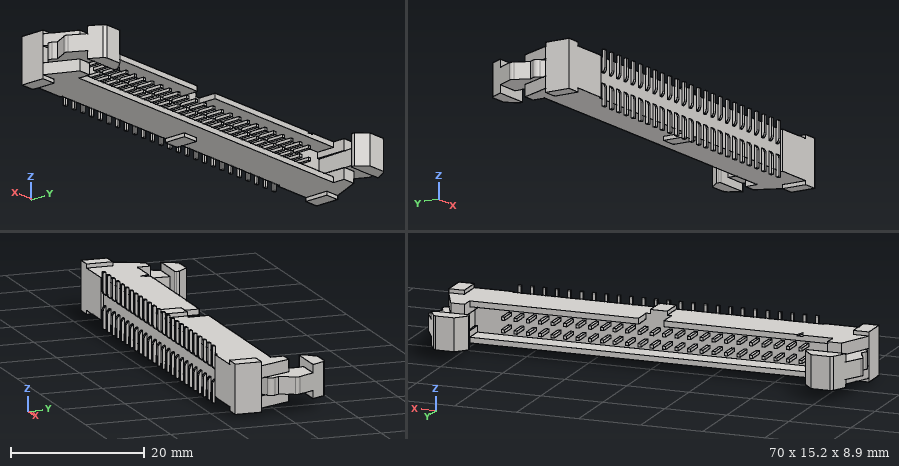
import cadquery as cq


PINS_PER_ROW = 25
ROW_LENGTH = 48.0
PIN_PITCH = ROW_LENGTH / (PINS_PER_ROW - 1)
PIN_SIZE = 0.5
ROW_OFFSET = 1.0
FOOT_SPAN = 8.9
BEND_RADIUS = 0.85
PIN_TIP_Y = 7.3
FOOT_TIP_ROUND = 0.15

BODY_HALF_HEIGHT = 3.3
BODY_FRONT_Y = PIN_SIZE
BODY_REAR_Y = 7.5
END_FRONT_Y = 0.15
END_FRONT_INNER_X = 25.0
END_X = 33.9
STEP_Y = 4.35
TOWER_INNER_X = 29.3
TOWER_OUTER_X = 31.5
TOWER_TOP_Y = 9.6
PAD_LENGTH = 2.5
PAD_HALF_HEIGHT = 3.9
KEY_PAD_WIDTH = 2.7
KEY_SLOT_WIDTH = 4.05
CAVITY_HALF_HEIGHT = 2.4

MARK_WIDTH = 0.9
MARK_LENGTH = 1.3
MARK_DEPTH = 0.2

LATCH_HEIGHT = 2.7
LATCH_HALF_HEIGHT = LATCH_HEIGHT / 2
LATCH_TOP_Y = 15.2
HEAD_HALF_HEIGHT = 2.65
HEAD_FRONT_Y = 12.75
HEAD_SHOULDER = (32.3, 14.85)
HEAD_TOP_OUTER_X = 31.8
HEAD_TOP_INNER_X = 28.8
HOOK_X = 27.2
HOOK_TOP_Y = 13.45
HOOK_ROUND = 0.2
NECK_INNER_X = 29.35
ARM_INNER_X = 29.6
ARM_FOOT_X = 32.35
ARM_NOTCH = (33.75, 7.15)
ELBOW_START = (34.9, 10.15)
ELBOW_PEAK = (35.0, 9.8)
ELBOW_END = (34.9, 9.4)
TOE_START = (34.2, 6.4)
TOE_PEAK = (34.25, 5.8)
TOE_END = (33.9, 5.3)

FLANK_SLOPE = (ELBOW_START[0] - HEAD_SHOULDER[0]) / (ELBOW_START[1] - HEAD_SHOULDER[1])
NECK_OUTER_X = HEAD_SHOULDER[0] + FLANK_SLOPE * (HEAD_FRONT_Y - HEAD_SHOULDER[1])


def box(x_min, x_max, y_min, y_max, half_height):
    """Block between the given X and Y limits, centred on Z = 0."""
    return cq.Workplane("XY").box(
        x_max - x_min, y_max - y_min, 2 * half_height
    ).translate(((x_min + x_max) / 2, (y_min + y_max) / 2, 0))


def plate(points, half_height):
    """Flat plate with the given XY outline, centred on Z = 0."""
    return cq.Workplane("XY").polyline(points).close().extrude(half_height, both=True)


def mirrored(shape):
    return shape.mirror("YZ")


def make_shell():
    """Solid outer form: a bar with a tower at each end and raised pads."""
    half_outline = [
        (0, BODY_FRONT_Y),
        (END_FRONT_INNER_X, BODY_FRONT_Y),
        (END_FRONT_INNER_X, END_FRONT_Y),
        (END_X, END_FRONT_Y),
        (END_X, STEP_Y),
        (TOWER_OUTER_X, TOWER_TOP_Y),
        (TOWER_INNER_X, TOWER_TOP_Y),
        (TOWER_INNER_X, BODY_REAR_Y),
        (0, BODY_REAR_Y),
    ]
    half = plate(half_outline, BODY_HALF_HEIGHT)
    shell = half.union(mirrored(half))

    end_pad = box(END_X - PAD_LENGTH, END_X, END_FRONT_Y, STEP_Y, PAD_HALF_HEIGHT)
    key_pad = box(-KEY_PAD_WIDTH / 2, KEY_PAD_WIDTH / 2, BODY_FRONT_Y, STEP_Y, PAD_HALF_HEIGHT)
    return shell.union(end_pad).union(mirrored(end_pad)).union(key_pad)


def make_cavity():
    return box(-TOWER_INNER_X, TOWER_INNER_X, STEP_Y, BODY_REAR_Y, CAVITY_HALF_HEIGHT)


def make_latch_slots():
    return box(-END_X, END_X, STEP_Y, TOWER_TOP_Y, LATCH_HALF_HEIGHT)


def make_key_slot():
    """Polarising slot through the upper wall only."""
    return box(
        -KEY_SLOT_WIDTH / 2, KEY_SLOT_WIDTH / 2, STEP_Y, BODY_REAR_Y, BODY_HALF_HEIGHT / 2
    ).translate((0, 0, BODY_HALF_HEIGHT / 2))


def make_pin_one_mark():
    """Shallow triangle in the upper wall beside the first pin."""
    return (
        cq.Workplane("XY", origin=(-ROW_LENGTH / 2, BODY_REAR_Y, BODY_HALF_HEIGHT))
        .polyline([(-MARK_WIDTH / 2, 0), (MARK_WIDTH / 2, 0), (0, -MARK_LENGTH)])
        .close()
        .extrude(-MARK_DEPTH)
    )


def make_pin():
    """One upper-row contact: a post along Y bent into a solder foot along +Z."""
    tip_z = FOOT_SPAN / 2
    inner_z = ROW_OFFSET - PIN_SIZE / 2
    outer_z = ROW_OFFSET + PIN_SIZE / 2
    return (
        cq.Workplane("YZ")
        .moveTo(PIN_TIP_Y, inner_z)
        .lineTo(BEND_RADIUS, inner_z)
        .radiusArc((0, inner_z + BEND_RADIUS), BEND_RADIUS)
        .lineTo(0, tip_z)
        .lineTo(PIN_SIZE, tip_z)
        .lineTo(PIN_SIZE, inner_z + BEND_RADIUS)
        .radiusArc((BEND_RADIUS, outer_z), -(BEND_RADIUS - PIN_SIZE))
        .lineTo(PIN_TIP_Y, outer_z)
        .close()
        .extrude(PIN_SIZE / 2, both=True)
        .faces(">Z")
        .edges("|X")
        .fillet(FOOT_TIP_ROUND)
    )


def make_housing():
    """Housing with its moulded-in contacts."""
    housing = (
        make_shell()
        .cut(make_cavity())
        .cut(make_latch_slots())
        .cut(make_key_slot())
        .cut(make_pin_one_mark())
    )
    upper_pin = make_pin()
    lower_pin = upper_pin.mirror("XY")
    for index in range(PINS_PER_ROW):
        x = index * PIN_PITCH - ROW_LENGTH / 2
        for pin in (upper_pin, lower_pin):
            housing = housing.union(pin.translate((x, 0, 0)))
    return housing


def make_latch():
    """Ejector latch at the +X end: an arm in the slot with a taller hooked head."""
    head = (
        cq.Workplane("XY")
        .moveTo(NECK_OUTER_X, HEAD_FRONT_Y)
        .lineTo(*HEAD_SHOULDER)
        .lineTo(HEAD_TOP_OUTER_X, LATCH_TOP_Y)
        .lineTo(HEAD_TOP_INNER_X, LATCH_TOP_Y)
        .lineTo(HOOK_X, HOOK_TOP_Y)
        .lineTo(HOOK_X, HEAD_FRONT_Y + HOOK_ROUND)
        .radiusArc((HOOK_X + HOOK_ROUND, HEAD_FRONT_Y), -HOOK_ROUND)
        .close()
        .extrude(HEAD_HALF_HEIGHT, both=True)
    )
    arm = (
        cq.Workplane("XY")
        .moveTo(ARM_INNER_X, STEP_Y)
        .lineTo(NECK_INNER_X, HEAD_FRONT_Y)
        .lineTo(NECK_OUTER_X, HEAD_FRONT_Y)
        .lineTo(*ELBOW_START)
        .threePointArc(ELBOW_PEAK, ELBOW_END)
        .lineTo(*ARM_NOTCH)
        .lineTo(*TOE_START)
        .threePointArc(TOE_PEAK, TOE_END)
        .lineTo(ARM_FOOT_X, STEP_Y)
        .close()
        .extrude(LATCH_HALF_HEIGHT, both=True)
    )
    return head.union(arm)


housing = make_housing()
right_latch = make_latch()
left_latch = mirrored(right_latch)

result = cq.Compound.makeCompound([housing.val(), left_latch.val(), right_latch.val()])